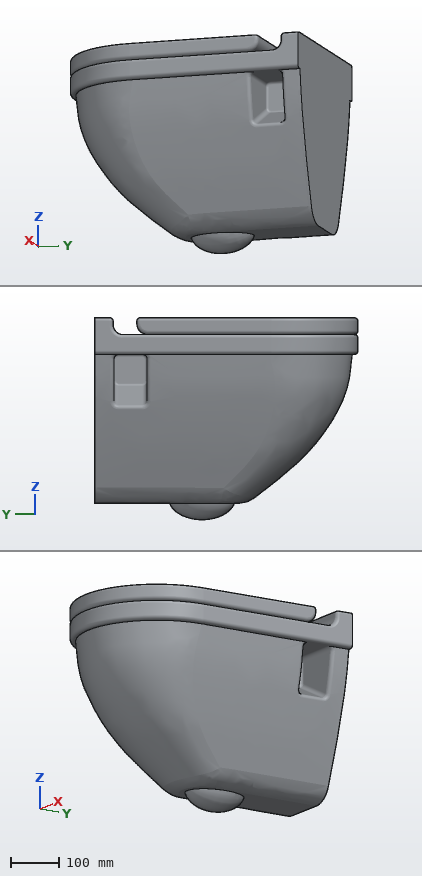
import cadquery as cq
import math


length = 545.0
back_half_width = 182.5
nose_radius = 180.0
nose_center_y = nose_radius - length
wall_strip = 6.0

rim_bottom = 308.0
rim_top = 349.5
upstand_top = 384.0
upstand_depth = 38.5
cove_radius = 20.0
edge_radius = 7.5

lid_back = 87.0
lid_heel_radius = 23.0

bowl_fillet = 49.0
bowl_sections = [
    (0.0, 77.0, 241.0, 317.0),
    (29.5, 90.5, 266.0, 354.0),
    (71.0, 106.0, 307.5, 406.0),
    (113.5, 121.0, 340.5, 449.0),
    (160.0, 135.5, 362.0, 485.0),
    (207.0, 149.5, 373.0, 511.0),
    (256.0, 161.0, 373.5, 527.0),
    (327.0, 175.0, 364.0, 537.0),
]

pocket_back_y = -40.5
pocket_width = 68.5
pocket_end_x = 54.5
pocket_mouth_x = 218.0
pocket_inner_floor = 244.0
pocket_mouth_floor = 200.5
pocket_side_x = 146.5
pocket_corner_radius = 10.0
pocket_end_radius = 5.5

bulb_center_y = -222.5
bulb_center_z = 11.0
bulb_height = 34.5
bulb_half_length = 69.0


def plan_slab(bottom, top):
    """Slab of the shared plan outline: tapering sides run tangent into the round nose."""
    taper_length = -nose_center_y - wall_strip
    tangent_angle = math.atan2(taper_length, back_half_width) - math.acos(
        nose_radius / math.hypot(taper_length, back_half_width)
    )
    tangent_x = nose_radius * math.cos(tangent_angle)
    tangent_y = nose_center_y + nose_radius * math.sin(tangent_angle)
    return (
        cq.Workplane("XY")
        .workplane(offset=bottom)
        .moveTo(-back_half_width, 0)
        .lineTo(-back_half_width, -wall_strip)
        .lineTo(-tangent_x, tangent_y)
        .threePointArc((0, -length), (tangent_x, tangent_y))
        .lineTo(back_half_width, -wall_strip)
        .lineTo(back_half_width, 0)
        .close()
        .extrude(top - bottom)
    )


def make_rim():
    """Rim slab with the coved upstand along the wall; back edges stay sharp."""
    slab = plan_slab(rim_bottom, upstand_top)
    clearance = (
        cq.Workplane("YZ")
        .moveTo(-upstand_depth, upstand_top)
        .lineTo(-upstand_depth, rim_top + cove_radius)
        .radiusArc((-upstand_depth - cove_radius, rim_top), cove_radius)
        .lineTo(-length, rim_top)
        .lineTo(-length, upstand_top)
        .close()
        .extrude(back_half_width, both=True)
    )
    rim = slab.cut(clearance)
    outer_edges = rim.edges("%CIRCLE").add(rim.faces("<Z or >Z").edges("not >Y"))
    return rim.newObject(outer_edges.vals()).fillet(edge_radius)


def make_lid():
    """Flat lid with the rim's outline, a rounded heel and rounded edges."""
    lid = plan_slab(rim_top, upstand_top)
    lid = lid.copyWorkplane(cq.Workplane("XZ", origin=(0, -lid_back, 0))).split(keepTop=True)
    lid = lid.faces(">Y").edges("<Z").fillet(lid_heel_radius)
    outer_edges = lid.edges("%CIRCLE").add(lid.faces(">Z").edges())
    return lid.newObject(outer_edges.vals()).fillet(edge_radius)


def bowl_section(level, half_width, side_end, reach):
    """Horizontal bowl section: parallel sides closed by half an ellipse."""
    return (
        cq.Workplane("XY")
        .workplane(offset=level)
        .moveTo(-half_width, -wall_strip)
        .lineTo(-half_width, -side_end)
        .ellipseArc(half_width, reach - side_end, 180, 360, startAtCurrent=True)
        .lineTo(half_width, -wall_strip)
        .close()
        .val()
    )


def make_bowl():
    """Solid bowl lofted through its sections, carried on straight to the wall."""
    sections = [bowl_section(*section) for section in bowl_sections]
    bowl = cq.Workplane(cq.Solid.makeLoft(sections))
    bowl = bowl.faces("<Z").edges("not >Y").fillet(bowl_fillet)
    strip = cq.Solid.extrudeLinear(bowl.faces(">Y").val(), cq.Vector(0, wall_strip, 0))
    return bowl.union(cq.Workplane(strip))


def make_pocket():
    """Cutter for the pocket on the +X side, with a floor that falls outward."""
    slope = (pocket_inner_floor - pocket_mouth_floor) / (pocket_side_x - pocket_end_x)
    outer_floor = pocket_inner_floor - slope * (pocket_mouth_x - pocket_end_x)
    pocket = (
        cq.Workplane("XZ", origin=(0, pocket_back_y, 0))
        .moveTo(pocket_end_x, rim_bottom)
        .lineTo(pocket_mouth_x, rim_bottom)
        .lineTo(pocket_mouth_x, outer_floor)
        .lineTo(pocket_end_x, pocket_inner_floor)
        .close()
        .extrude(pocket_width)
    )
    pocket = pocket.edges("not(|Y or |Z)").fillet(pocket_corner_radius)
    return pocket.faces("<X").edges().fillet(pocket_end_radius)


def make_pan():
    """Bowl with a rounded-mouth pocket in each side, joined under the rim."""
    pan = make_bowl()
    right_pocket = make_pocket()
    for pocket in (right_pocket, right_pocket.mirror("YZ")):
        pan = pan.cut(pocket)
    mouths = [wire for face in pan.faces().vals() for wire in face.innerWires()]
    mouth_edges = [edge for mouth in mouths for edge in mouth.Edges()]
    pan = pan.newObject(mouth_edges).fillet(edge_radius)
    return pan.union(make_rim())


def make_bulb():
    """Lower part of an ellipsoid of revolution, seated flat against the underside of the pan."""
    bulb_radius = bulb_height + bulb_center_z
    ellipsoid = (
        cq.Workplane("XY", origin=(0, bulb_center_y, bulb_center_z))
        .moveTo(0, -bulb_half_length)
        .ellipseArc(bulb_radius, bulb_half_length, -90, 90, startAtCurrent=True)
        .close()
        .revolve(360, (0, 0, 0), (0, 1, 0))
    )
    return ellipsoid.copyWorkplane(cq.Workplane("XY")).split(keepBottom=True)


pan = make_pan()
lid = make_lid()
bulb = make_bulb()
result = cq.Compound.makeCompound([*pan.solids().vals(), *lid.solids().vals(), *bulb.solids().vals()])